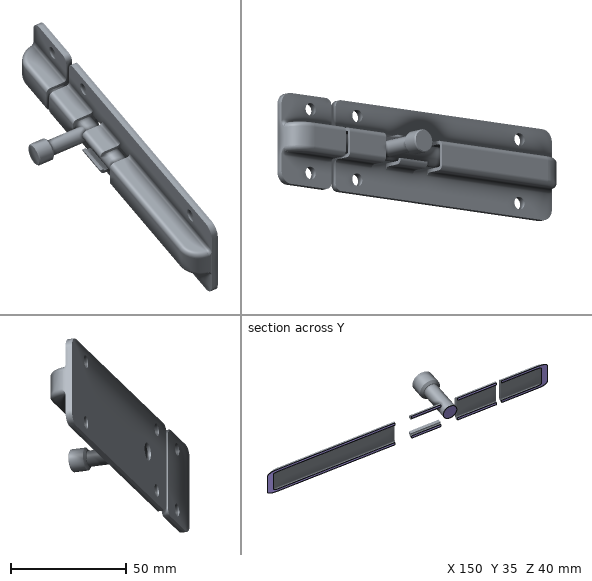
import cadquery as cq


total_length = 150.0
plate_width = 40.0
sheet = 1.5
keeper_length = 27.6
main_start = 30.0

outer_corner = 5.1
inner_corner = 3.0

screw_hole_diameter = 5.5
screw_hole_pitch_z = 28.0
keeper_hole_x = 16.0
main_hole_xs = [42.0, 132.0]

hump_width = 13.0
hump_depth = 13.0
hump_edge_radius = 2.2
hump_foot_radius = 1.5
main_hump_end = 149.8

bolt_diameter = 9.0
bolt_start = 7.5
bolt_end = 100.0

slot_start = 50.0
slot_length = 31.0
slot_width = 8.0
strap_length = 15.0

shaft_diameter = 7.0
knob_head_diameter = 10.0
knob_head_length = 8.0
knob_depth = 35.0
knob_back_chamfer = 1.0
knob_front_chamfer = 0.5
access_hole_diameter = 8.0

flange_front = 2 * sheet
hump_inner_width = hump_width - 2 * sheet
hump_inner_depth = hump_depth - sheet
hump_inner_edge_radius = hump_edge_radius - sheet
hump_end_radius = hump_depth - flange_front
bolt_depth = (sheet + hump_inner_depth) / 2
knob_x = slot_start + shaft_diameter / 2
slot_end = slot_start + slot_length
window_length = (slot_length - strap_length) / 2


def at_depth(depth):
    """Workplane facing -Y at a depth, with local x along X and local y along Z."""
    return cq.Workplane("XZ").workplane(offset=depth)


def block(x_start, x_end, depth_start, depth_end, width):
    """Box centred on Z = 0."""
    return (
        at_depth(depth_start)
        .center((x_start + x_end) / 2, 0)
        .rect(x_end - x_start, width)
        .extrude(depth_end - depth_start)
    )


def plate(x_start, x_end, left_corner, right_corner, hole_xs, back):
    """Flat plate with rounded corners and a pair of screw holes at each of hole_xs."""
    holes = [(x, side * screw_hole_pitch_z / 2) for x in hole_xs for side in (-1, 1)]
    return (
        block(x_start, x_end, back, back + sheet, plate_width)
        .edges("|Y and <X").fillet(left_corner)
        .edges("|Y and >X").fillet(right_corner)
        .cut(at_depth(back).pushPoints(holes).circle(screw_hole_diameter / 2).extrude(sheet))
    )


def hump_side(open_x, closed_x, back, front, end_radius, width):
    """Long block whose front curves back in a quarter circle at its closed end."""
    inward = 1 if open_x > closed_x else -1
    turn_depth = front - end_radius
    arc_x = closed_x + inward * end_radius
    arc_middle = end_radius / 2 ** 0.5
    return (
        cq.Workplane("XY")
        .moveTo(open_x, -back)
        .lineTo(open_x, -front)
        .lineTo(arc_x, -front)
        .threePointArc(
            (arc_x - inward * arc_middle, -turn_depth - arc_middle),
            (closed_x, -turn_depth),
        )
        .lineTo(closed_x, -back)
        .close()
        .extrude(width / 2, both=True)
    )


def round_hump_edges(hump, radius):
    """Round the front and closed-end edges of both side walls, but not the back or open end."""
    rim = hump.faces("<Y").edges("|X")
    arcs = hump.faces("|Z").edges("%CIRCLE")
    return hump.newObject(rim.vals() + arcs.vals()).fillet(radius)


def hump_foot(open_x, closed_x):
    """Concave foot around the hump, trimmed flush at the hump's two ends."""
    x_start, x_end = min(open_x, closed_x), max(open_x, closed_x)
    closed_end = "<X" if closed_x < open_x else ">X"
    foot_front = flange_front + hump_foot_radius
    margin = 2 * hump_foot_radius
    reach = hump_foot_radius / 2
    base = block(x_start - margin, x_end + margin, sheet, flange_front, hump_width + 2 * margin)
    core = (
        block(x_start, x_end, sheet, foot_front + margin, hump_width)
        .edges("|Y").edges(closed_end).fillet(hump_edge_radius)
    )
    around_core = cq.selectors.BoxSelector(
        (x_start - reach, -flange_front - reach, -hump_width / 2 - reach),
        (x_end + reach, -flange_front + reach, hump_width / 2 + reach),
    )
    footed = base.union(core).edges(around_core).fillet(hump_foot_radius)
    side_outline = hump_side(open_x, closed_x, sheet, hump_depth, hump_end_radius, plate_width)
    foot_layer = block(x_start, x_end, sheet, foot_front, plate_width)
    return footed.intersect(side_outline).intersect(foot_layer)


def cover(flange, open_x, closed_x):
    """Flange with a hollow hump, open towards the gap and closed at the far end."""
    inward = 1 if open_x > closed_x else -1
    hump = round_hump_edges(
        hump_side(open_x, closed_x, sheet, hump_depth, hump_end_radius, hump_width),
        hump_edge_radius,
    )
    hollow = round_hump_edges(
        hump_side(
            open_x, closed_x + inward * sheet,
            sheet, hump_inner_depth, hump_end_radius - sheet, hump_inner_width,
        ),
        hump_inner_edge_radius,
    )
    return flange.union(hump).union(hump_foot(open_x, closed_x)).cut(hollow)


def keeper_plate():
    return plate(0, keeper_length, outer_corner, inner_corner, [keeper_hole_x], 0)


def keeper_cover():
    flange = plate(0, keeper_length, outer_corner, inner_corner, [keeper_hole_x], sheet)
    return cover(flange, keeper_length, 0)


def main_plate():
    back_plate = plate(main_start, total_length, inner_corner, outer_corner, main_hole_xs, 0)
    access_hole = at_depth(0).center(knob_x, 0).circle(access_hole_diameter / 2).extrude(sheet)
    return back_plate.cut(access_hole)


def main_cover():
    flange = plate(main_start, total_length, inner_corner, outer_corner, main_hole_xs, sheet)
    body = cover(flange, main_start, main_hump_end)
    slot = block(slot_start, slot_end, bolt_depth, hump_depth, slot_width)
    body = body.cut(slot)
    for x_start in (slot_start, slot_end - window_length):
        body = body.cut(
            block(x_start, x_start + window_length, flange_front, hump_depth, plate_width)
        )
    return body


def knob():
    """Shaft seated on the bolt's axis, with a wider head in front."""
    head_back = knob_depth - knob_head_length
    shaft = (
        at_depth(bolt_depth).center(knob_x, 0)
        .circle(shaft_diameter / 2).extrude(head_back - bolt_depth)
    )
    head = (
        at_depth(head_back).center(knob_x, 0)
        .circle(knob_head_diameter / 2).extrude(knob_head_length)
        .faces(">Y").chamfer(knob_back_chamfer)
        .faces("<Y").chamfer(knob_front_chamfer)
    )
    return shaft.union(head)


def bolt():
    """Round bar with a blind hole that holds the knob's shaft."""
    bar = (
        cq.Workplane("YZ", origin=(bolt_start, -bolt_depth, 0))
        .circle(bolt_diameter / 2)
        .extrude(bolt_end - bolt_start)
    )
    return bar.cut(knob())


result = cq.Compound.makeCompound([
    keeper_plate().val(),
    keeper_cover().val(),
    main_plate().val(),
    main_cover().val(),
    bolt().val(),
    knob().val(),
])